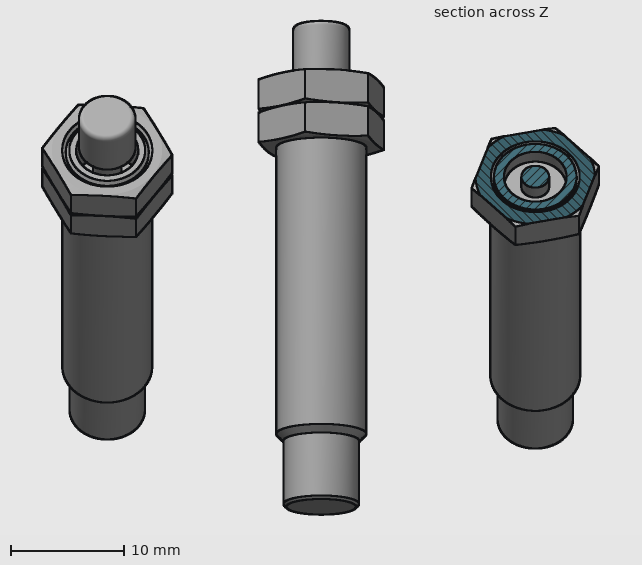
import cadquery as cq
import math

total_height = 43.6
head_height = 4.5
housing_top = 38.6

thread_diameter = 8.0
tail_diameter = 6.7
tail_height = 5.97
tail_chamfer = 0.25
rim_diameter = 6.7
recess_diameter = 5.5
recess_depth = head_height

head_diameter = 5.0
head_fillet = 0.45
rod_diameter = 2.5

nut_count = 2
nut_height = 3.0
nut_width = 10.0
nut_face_diameter = 9.75
nut_corner_drop = 0.17
nut_corner_diameter = nut_width / math.cos(math.radians(30))

seat_diameter = (thread_diameter + rim_diameter) / 2
groove_depth = (thread_diameter - seat_diameter) / 2
seat_bottom = housing_top - nut_count * nut_height


def cylinder(diameter, bottom, height):
    return cq.Workplane("XY").workplane(offset=bottom).circle(diameter / 2).extrude(height)


def make_housing():
    """Turned housing with its plunger standing in the open recess at the top."""
    thread_radius = thread_diameter / 2
    tail_radius = tail_diameter / 2
    shoulder_top = tail_height + thread_radius - tail_radius
    profile = [
        (0, 0),
        (tail_radius - tail_chamfer, 0),
        (tail_radius, tail_chamfer),
        (tail_radius, tail_height),
        (thread_radius, shoulder_top),
        (thread_radius, seat_bottom),
        (seat_diameter / 2, seat_bottom),
        (seat_diameter / 2, housing_top - groove_depth),
        (rim_diameter / 2, housing_top),
        (0, housing_top),
    ]
    shell = cq.Workplane("XZ").polyline(profile).close().revolve(360, (0, 0), (0, 1))
    recess_floor = housing_top - recess_depth
    shell = shell.cut(cylinder(recess_diameter, recess_floor, recess_depth))

    head_bottom = total_height - head_height
    rod = cylinder(rod_diameter, recess_floor, head_bottom - recess_floor)
    head = cylinder(head_diameter, head_bottom, head_height).faces(">Z").edges().fillet(head_fillet)
    return shell.union(rod).union(head)


def make_nut(bottom):
    """Hexagon nut with chamfered corners and a countersink at both ends of its bore."""
    hexagon = (
        cq.Workplane("XY", origin=(0, 0, bottom))
        .transformed(rotate=(0, 0, 30))
        .polygon(6, nut_corner_diameter)
        .extrude(nut_height)
    )
    chamfer_width = (nut_corner_diameter - nut_face_diameter) / 2
    envelope = (
        cylinder(nut_corner_diameter, bottom, nut_height)
        .edges("%CIRCLE")
        .chamfer(nut_corner_drop, chamfer_width)
    )
    bore = cylinder(seat_diameter, bottom, nut_height)
    nut = hexagon.intersect(envelope).cut(bore)
    return nut.edges(cq.selectors.RadiusNthSelector(0)).chamfer(groove_depth)


housing = make_housing()
nuts = [make_nut(seat_bottom + index * nut_height) for index in range(nut_count)]

result = cq.Compound.makeCompound([housing.val(), *[nut.val() for nut in nuts]])